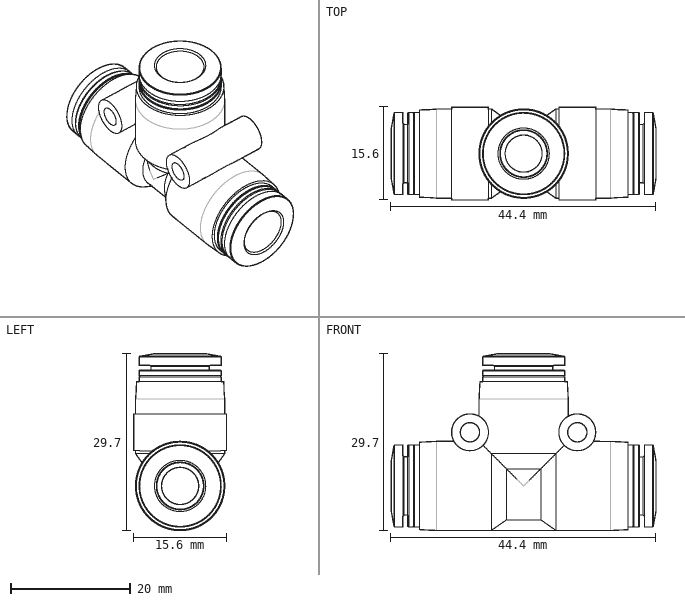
import cadquery as cq


arm_length = 44.4 / 2
body_radius = 15.0 / 2
core_radius = 5.75
core_half_length = 2.87
body_start = 5.4
taper_start = 14.57
taper_end = 17.5
taper_end_radius = 7.35

collar_radius = 13.8 / 2
collar_end = 19.45
collar_chamfer = 0.2
groove_position = 18.4
groove_width = 0.2
groove_depth = 0.1

neck_radius = 9.8 / 2
neck_flare = 0.2
flange_start = 20.23
flange_radius = collar_radius
flange_chamfer = 0.12
face_slope_drop = 0.45
mouth_radius = 4.3

tube_radius = 8.0 / 2
socket_floor_radius = 3.9
passage_radius = 6.2 / 2
socket_depth = 15.0
mouth_chamfer = mouth_radius - tube_radius

web_thickness = 1.8

lug_radius = 6.2 / 2
lug_hole_radius = 3.2 / 2
lug_length = 15.6
lug_offset = 9.0


def revolve_on_z(points):
    """Revolve a closed (radius, height) outline about the Z axis."""
    return cq.Workplane("XZ").polyline(points).close().revolve(360, (0, 0, 0), (0, 1, 0))


def arm_outside():
    """Solid arm pointing along +Z, from the tee centre to its end face."""
    profile = (
        cq.Workplane("XZ")
        .moveTo(0, 0)
        .lineTo(core_radius, 0)
        .lineTo(core_radius, core_half_length)
        .lineTo(body_radius, body_start)
        .lineTo(body_radius, taper_start)
        .lineTo(taper_end_radius, taper_end)
        .lineTo(collar_radius, taper_end)
        .lineTo(collar_radius, collar_end - collar_chamfer)
        .lineTo(collar_radius - collar_chamfer / 2, collar_end)
        .lineTo(neck_radius, collar_end)
        .lineTo(neck_radius, flange_start - neck_flare)
        .lineTo(neck_radius + neck_flare, flange_start)
        .lineTo(flange_radius, flange_start)
        .lineTo(flange_radius, arm_length - face_slope_drop - flange_chamfer)
        .lineTo(flange_radius - flange_chamfer, arm_length - face_slope_drop)
        .lineTo(mouth_radius, arm_length)
        .lineTo(0, arm_length)
        .close()
    )
    arm = profile.revolve(360, (0, 0, 0), (0, 1, 0))
    return arm.cut(collar_groove())


def collar_groove():
    """Thin ring cut around the collar."""
    floor_radius = collar_radius - groove_depth
    return (
        cq.Workplane("XY")
        .workplane(offset=groove_position - groove_width / 2)
        .circle(body_radius)
        .circle(floor_radius)
        .extrude(groove_width)
    )


def arm_bore():
    """Stepped bore of an arm along +Z: narrow passage, tapered tube socket and chamfered mouth."""
    return revolve_on_z([
        (0, 0),
        (passage_radius, 0),
        (passage_radius, arm_length - socket_depth),
        (socket_floor_radius, arm_length - socket_depth),
        (tube_radius, arm_length - mouth_chamfer),
        (mouth_radius, arm_length),
        (0, arm_length),
    ])


def in_three_directions(shape):
    """Union of a +Z shape with its copies turned to -X and +X."""
    combined = shape
    for angle in (-90, 90):
        combined = combined.union(shape.rotate((0, 0, 0), (0, 1, 0), angle))
    return combined


def web():
    """Flat rib under the core, bridging the two horizontal arms."""
    return (
        cq.Workplane("XY")
        .box(2 * body_start, web_thickness, body_radius, centered=(True, True, False))
        .translate((0, 0, -body_radius))
        .intersect(cq.Workplane("YZ").circle(body_radius).extrude(body_start, both=True))
    )


def lug_cylinders(radius):
    """Pair of Y-direction cylinders at the lug centres."""
    return (
        cq.Workplane("XZ", origin=(0, lug_length / 2, 0))
        .pushPoints([(-lug_offset, lug_offset), (lug_offset, lug_offset)])
        .circle(radius)
        .extrude(lug_length)
    )


outside = in_three_directions(arm_outside()).union(web()).union(lug_cylinders(lug_radius))
result = outside.cut(in_three_directions(arm_bore())).cut(lug_cylinders(lug_hole_radius))